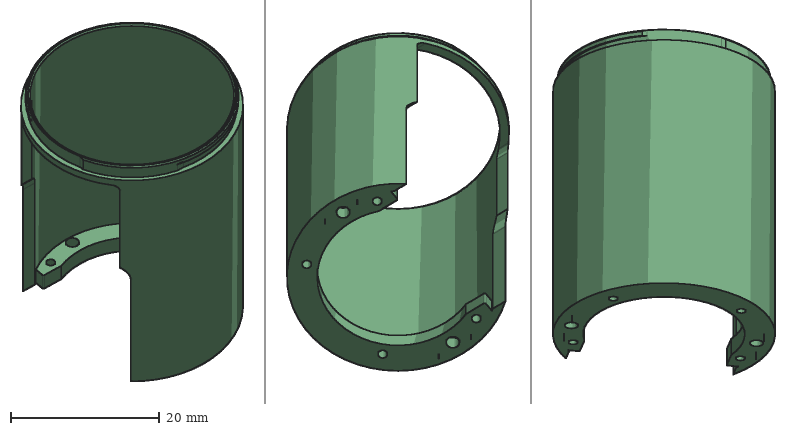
import cadquery as cq
import math

outer_radius = 30 / 2
bore_radius = 27.5 / 2
pin_length = 1.0
total_height = 40
top_z = total_height - pin_length
neck_height = 2
shoulder_z = top_z - neck_height

neck_radius = 14.2
lug_radius = 14.4
lug_height = 0.9
lug_chamfer = 0.25
bore_chamfer = 0.25
slot_half_angle = 21.3
slot_ramp_angle = 2.3
stop_foot_angle = 170
stop_ramp_angle = 4

band_height = 1.1
window_top_z = shoulder_z - band_height
window_half_width = 10.5
window_corner_radius = 0.8
lower_half_width = 11.5
flare_top_z = 20.9
flare_bottom_z = 18.8

flange_thickness = 2.5
flange_inner_radius = 21.8 / 2
flange_end_y = -7.2
flange_end_half_gap = 10.1
flange_corner_radius = 0.2
screw_circle_radius = 12.5
screw_hole_diameter = 1.25
screw_angles = (45, -22.5)
dowel_hole_diameter = 1.8
dowel_x = 12.75

pin_x = 13.25
pin_y = 2.7
pin_diameter = 0.1


def polar(radius, angle):
    """Point on a circle around the tube axis, angle in degrees."""
    return (radius * math.cos(math.radians(angle)), radius * math.sin(math.radians(angle)))


def cylinder(radius, bottom, top):
    return cq.Workplane("XY").workplane(offset=bottom).circle(radius).extrude(top - bottom)


def ramped_sector(start, end, start_ramp, end_ramp, bottom, top):
    """Raised sector whose ends slope from the neck up to the lug radius."""
    crest_start = start + start_ramp
    crest_end = end - end_ramp
    return (
        cq.Workplane("XY").workplane(offset=bottom)
        .moveTo(*polar(bore_radius, start))
        .lineTo(*polar(neck_radius, start))
        .lineTo(*polar(lug_radius, crest_start))
        .threePointArc(polar(lug_radius, (crest_start + crest_end) / 2), polar(lug_radius, crest_end))
        .lineTo(*polar(neck_radius, end))
        .lineTo(*polar(bore_radius, end))
        .threePointArc(polar(bore_radius, (start + end) / 2), polar(bore_radius, start))
        .close()
        .extrude(top - bottom)
    )


def bayonet():
    """Neck with two opposite lugs, each with a stop block below one end."""
    start = 90 + slot_half_angle
    end = 270 - slot_half_angle
    lug = ramped_sector(start, end, slot_ramp_angle, slot_ramp_angle, top_z - lug_height, top_z)
    block = ramped_sector(start, stop_foot_angle, slot_ramp_angle, stop_ramp_angle, shoulder_z, top_z)
    side = lug.union(block)
    neck = cylinder(neck_radius, shoulder_z, top_z)
    neck = neck.union(side).union(side.rotate((0, 0, 0), (0, 0, 1), 180))
    trim_depth = lug_radius - neck_radius
    envelope = cylinder(lug_radius, shoulder_z, top_z).faces(">Z").chamfer(lug_chamfer, trim_depth)
    return neck.intersect(envelope)


def bore():
    """Through bore with a chamfered mouth at the top."""
    mouth_bottom = cq.Workplane("XY").workplane(offset=top_z - bore_chamfer).circle(bore_radius)
    mouth = mouth_bottom.workplane(offset=bore_chamfer).circle(bore_radius + bore_chamfer).loft()
    return cylinder(bore_radius, 0, top_z).union(mouth)


def window():
    """Opening through the -Y wall with concave flares to the lower width."""
    step = lower_half_width - window_half_width
    rise = flare_top_z - flare_bottom_z
    flare_radius = (step**2 + rise**2) / (2 * step)
    half_sweep = math.asin(rise / flare_radius) / 2
    middle_x = lower_half_width - flare_radius * (1 - math.cos(half_sweep))
    middle_z = flare_bottom_z + flare_radius * math.sin(half_sweep)
    return (
        cq.Workplane("XZ")
        .moveTo(-lower_half_width, 0)
        .lineTo(-lower_half_width, flare_bottom_z)
        .threePointArc((-middle_x, middle_z), (-window_half_width, flare_top_z))
        .lineTo(-window_half_width, window_top_z)
        .lineTo(window_half_width, window_top_z)
        .lineTo(window_half_width, flare_top_z)
        .threePointArc((middle_x, middle_z), (lower_half_width, flare_bottom_z))
        .lineTo(lower_half_width, 0)
        .close()
        .extrude(outer_radius)
        .edges("|Y and >Z").fillet(window_corner_radius)
    )


def flange():
    """Open ring inside the tube, with straight inner faces near its ends."""
    wall_radius = (bore_radius + outer_radius) / 2
    ring = cylinder(wall_radius, 0, flange_thickness)
    ring = ring.cut(cylinder(flange_inner_radius, 0, flange_thickness))
    gap = (
        cq.Workplane("XY")
        .center(0, -outer_radius / 2)
        .rect(2 * flange_end_half_gap, outer_radius)
        .extrude(flange_thickness)
    )
    below_ends = (
        cq.Workplane("XY")
        .center(0, flange_end_y - outer_radius / 2)
        .rect(2 * outer_radius, outer_radius)
        .extrude(flange_thickness)
    )
    ring = ring.cut(gap).cut(below_ends)
    for side in (-1, 1):
        corner = (side * flange_end_half_gap, flange_end_y, flange_thickness / 2)
        ring = ring.edges(cq.selectors.NearestToPointSelector(corner)).fillet(flange_corner_radius)
    return ring


def flange_holes():
    screws = [polar(screw_circle_radius, a) for a in screw_angles]
    screws += [(-x, y) for x, y in screws]
    dowels = [(-dowel_x, 0), (dowel_x, 0)]
    plane = cq.Workplane("XY")
    screw_holes = plane.pushPoints(screws).circle(screw_hole_diameter / 2).extrude(flange_thickness)
    dowel_holes = plane.pushPoints(dowels).circle(dowel_hole_diameter / 2).extrude(flange_thickness)
    return screw_holes.union(dowel_holes)


def pins():
    return (
        cq.Workplane("XY")
        .rect(2 * pin_x, 2 * pin_y, forConstruction=True)
        .vertices()
        .circle(pin_diameter / 2)
        .extrude(-pin_length)
    )


tube = cylinder(outer_radius, 0, shoulder_z).union(bayonet())
tube = tube.cut(bore()).cut(window())
result = tube.union(flange()).cut(flange_holes()).union(pins())